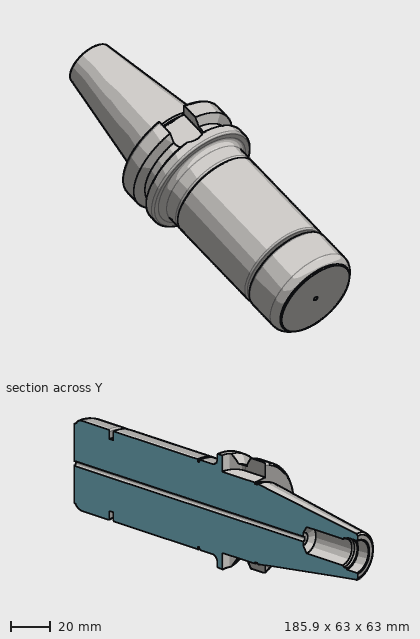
import cadquery as cq
import math

total_length = 185.9
taper_end = 65.0
flange_start = 67.3
flange_end = 92.4
notch_start = 104.1
body_start = 104.7
nut_gap_start = 160.5
nut_start = 162.7

taper_ratio = 7 / 24
taper_large_diameter = 44.5
taper_small_diameter = taper_large_diameter - taper_end * taper_ratio
taper_relief_diameter = 43.5
taper_relief_length = 1.1
shank_chamfer_length = 0.5
shank_face_diameter = 23.5

flange_diameter = 63.0
flange_edge_radius = 1.1
groove_floor_diameter = 53.2
groove_floor_start = 79.8
groove_floor_end = 84.2
groove_flank_angle = 30

body_diameter = 50.0
notch_diameter = 47.2
notch_edge_radius = 1.3
nut_gap_diameter = 40.0
gap_edge_radius = 1.0
neck_fillet = 3.0
nut_end_radius = 5.5
nut_end_round_length = 4.8
nut_end_chamfer = 0.7
nut_face_diameter = 43.5

slot_width = 16.2
slot_end = 88.7
slot_floor_height = 22.5

mouth_diameter = 18.4
mouth_chamfer = 0.4
pilot_diameter = 17.5
pilot_depth = 7.0
thread_diameter = 16.0
thread_end = 9.0
core_chamfer_length = 1.0
core_diameter = 14.3
core_end = 33.5
cone_tip_diameter = 6.9
cone_angle = 59
through_diameter = 2.5


def make_revolved_blank():
    groove_run = (flange_diameter - groove_floor_diameter) / 2 * math.tan(math.radians(groove_flank_angle))
    body_r = body_diameter / 2
    flange_r = flange_diameter / 2
    small_r = taper_small_diameter / 2
    relief_r = taper_relief_diameter / 2
    groove_r = groove_floor_diameter / 2
    notch_r = notch_diameter / 2
    gap_r = nut_gap_diameter / 2

    round_end = total_length - nut_end_chamfer
    nut_end_drop = nut_end_radius - math.sqrt(nut_end_radius**2 - nut_end_round_length**2)

    profile = (
        cq.Workplane("XY")
        .lineTo(0, shank_face_diameter / 2)
        .lineTo(shank_chamfer_length, small_r + shank_chamfer_length * taper_ratio / 2)
        .lineTo(taper_end, taper_large_diameter / 2)
        .lineTo(taper_end + taper_relief_length, relief_r)
        .lineTo(flange_start, relief_r)
        .lineTo(flange_start, flange_r - flange_edge_radius)
        .radiusArc((flange_start + flange_edge_radius, flange_r), flange_edge_radius)
        .lineTo(groove_floor_start - groove_run, flange_r)
        .lineTo(groove_floor_start, groove_r)
        .lineTo(groove_floor_end, groove_r)
        .lineTo(groove_floor_end + groove_run, flange_r)
        .lineTo(flange_end - flange_edge_radius, flange_r)
        .radiusArc((flange_end, flange_r - flange_edge_radius), flange_edge_radius)
        .lineTo(flange_end, body_r + neck_fillet)
        .radiusArc((flange_end + neck_fillet, body_r), -neck_fillet)
        .lineTo(notch_start - notch_edge_radius, body_r)
        .radiusArc((notch_start, body_r - notch_edge_radius), notch_edge_radius)
        .lineTo(notch_start, notch_r)
        .lineTo(body_start, notch_r)
        .lineTo(body_start, body_r)
        .lineTo(nut_gap_start - gap_edge_radius, body_r)
        .radiusArc((nut_gap_start, body_r - gap_edge_radius), gap_edge_radius)
        .lineTo(nut_gap_start, gap_r)
        .lineTo(nut_start, gap_r)
        .lineTo(nut_start, body_r - gap_edge_radius)
        .radiusArc((nut_start + gap_edge_radius, body_r), gap_edge_radius)
        .lineTo(round_end - nut_end_round_length, body_r)
        .radiusArc((round_end, body_r - nut_end_drop), nut_end_radius)
        .lineTo(total_length, nut_face_diameter / 2)
        .lineTo(total_length, 0)
        .close()
    )
    return profile.revolve(360, (0, 0, 0), (1, 0, 0))


def make_bore():
    cone_length = (core_diameter - cone_tip_diameter) / 2 / math.tan(math.radians(cone_angle))
    cone_end = core_end + cone_length
    return (
        cq.Workplane("XY")
        .lineTo(0, mouth_diameter / 2)
        .lineTo(mouth_chamfer, pilot_diameter / 2)
        .lineTo(pilot_depth, pilot_diameter / 2)
        .lineTo(pilot_depth, thread_diameter / 2)
        .lineTo(thread_end, thread_diameter / 2)
        .lineTo(thread_end + core_chamfer_length, core_diameter / 2)
        .lineTo(core_end, core_diameter / 2)
        .lineTo(cone_end, cone_tip_diameter / 2)
        .lineTo(cone_end, through_diameter / 2)
        .lineTo(total_length, through_diameter / 2)
        .lineTo(total_length, 0)
        .close()
        .revolve(360, (0, 0, 0), (1, 0, 0))
    )


def make_drive_slot():
    """Round-ended slot, open toward the taper, for the top of the flange."""
    half_width = slot_width / 2
    arc_start = slot_end - half_width
    return (
        cq.Workplane("XY", origin=(0, 0, slot_floor_height))
        .moveTo(taper_end, -half_width)
        .lineTo(arc_start, -half_width)
        .threePointArc((slot_end, 0), (arc_start, half_width))
        .lineTo(taper_end, half_width)
        .close()
        .extrude(flange_diameter / 2)
    )


top_slot = make_drive_slot()
bottom_slot = top_slot.mirror("XY")
result = make_revolved_blank().cut(make_bore()).cut(top_slot).cut(bottom_slot)